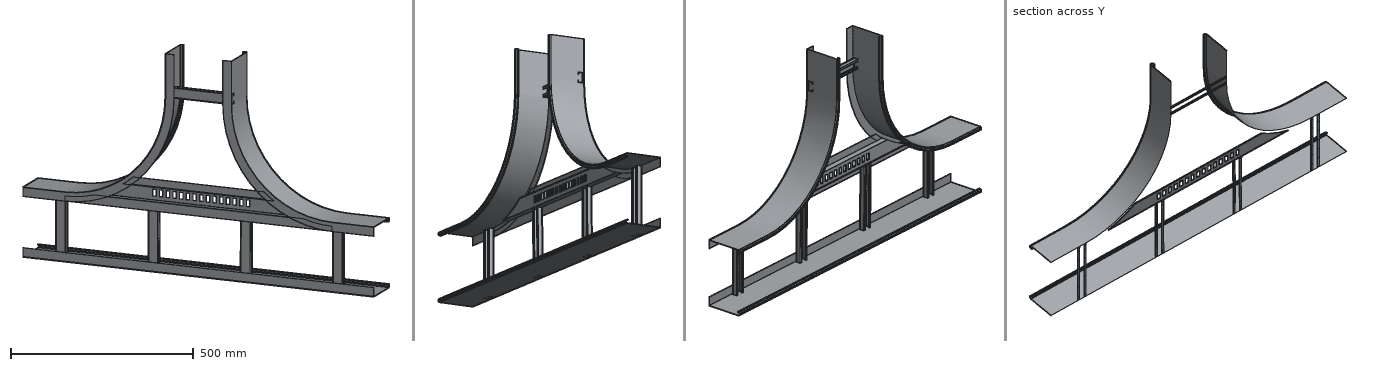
import cadquery as cq
import math

length = 1050.0
depth = 110.0
height = 625.0

sheet = 2.0
leg = 125.0
flange_width = 27.0
fold_angle = 35.0
fold_run = 4.5
return_height = 12.0
return_lip = 8.9

run_width = 200.0
tangent_z = height - leg
tangent_x = length / 2 - leg
bend_radius = tangent_z - run_width

rung_width = 29.9
rung_depth = 15.0
rung_sheet = 2.0
rung_lip = 7.0
rung_front = 5.1
rung_pitch = 276.0
rung_top_gap = 3.0
inner_rung_lean = 1.6

panel_bottom = run_width - flange_width
channel_height = 40.4
channel_depth = 20.0
panel_top_flange = 23.0
panel_clearance = 10.0
slot_count = 15
slot_pitch = 20.0
slot_width = 10.0
slot_height = 19.0


def rail_section():
    """Rail outline as (Y, distance inward from the outside of the web)."""
    fold_drop = fold_run * math.tan(math.radians(fold_angle))
    flat_setback = sheet * math.tan(math.radians(fold_angle / 2))
    wall_setback = sheet * math.tan(math.radians((90 - fold_angle) / 2))
    flat_end = depth - fold_run
    return [
        (0, 0),
        (flat_end, 0),
        (depth, fold_drop),
        (depth, return_height - fold_drop),
        (flat_end, return_height),
        (depth - return_lip, return_height),
        (depth - return_lip, return_height - sheet),
        (flat_end - flat_setback, return_height - sheet),
        (depth - sheet, return_height - fold_drop - wall_setback),
        (depth - sheet, fold_drop + wall_setback),
        (flat_end - flat_setback, sheet),
        (sheet, sheet),
        (sheet, flange_width),
        (0, flange_width),
    ]


def make_bottom_rail():
    """Straight rail with its web at the bottom."""
    start = cq.Workplane("YZ", origin=(-length / 2, 0, 0))
    return start.polyline(rail_section()).close().extrude(length)


def make_left_curved_rail():
    """Rail that turns from the main run up into the branch; its web faces up and outward."""
    mid = bend_radius * math.sqrt(0.5)
    branch_x = -run_width / 2
    path = (
        cq.Workplane("XZ")
        .moveTo(-length / 2, run_width)
        .lineTo(-tangent_x, run_width)
        .threePointArc((-tangent_x + mid, tangent_z - mid), (branch_x, tangent_z))
        .lineTo(branch_x, height)
    )
    outline = [(y, -inward) for y, inward in rail_section()]
    start = cq.Workplane("YZ", origin=(-length / 2, 0, run_width))
    return start.polyline(outline).close().sweep(path).clean()


def make_rung(rung_length, lean=0.0):
    """Upright rung centred on X = 0 and standing on Z = 0; its top is set back by the lean."""
    half = rung_width / 2
    back = rung_front + rung_depth
    outline = [
        (-half, rung_front),
        (half, rung_front),
        (half, back),
        (half - rung_lip, back),
        (half - rung_lip, back - rung_sheet),
        (half - rung_sheet, back - rung_sheet),
        (half - rung_sheet, rung_front + rung_sheet),
        (-half + rung_sheet, rung_front + rung_sheet),
        (-half + rung_sheet, back - rung_sheet),
        (-half + rung_lip, back - rung_sheet),
        (-half + rung_lip, back),
        (-half, back),
    ]
    wire = cq.Wire.makePolygon([cq.Vector(x, y, 0) for x, y in outline], close=True)
    solid = cq.Solid.extrudeLinear(wire, [], cq.Vector(0, lean, rung_length))
    return cq.Workplane(solid)


def make_main_rungs():
    """Four rungs between the bottom rail and the upper side of the main run."""
    rung_length = run_width - 2 * sheet - rung_top_gap
    rungs = []
    for step in (-1.5, -0.5, 0.5, 1.5):
        lean = inner_rung_lean if abs(step) < 1 else 0.0
        rungs.append(make_rung(rung_length, lean).translate((step * rung_pitch, 0, sheet)))
    return rungs


def make_branch_rung():
    """Rung across the branch, with its lower side level with the start of the bends."""
    rung_length = run_width - 2 * sheet
    lying = make_rung(rung_length).rotate((0, 0, 0), (0, 1, 0), 90)
    return lying.translate((-rung_length / 2, 0, tangent_z + rung_width / 2))


def make_panel():
    """Hat-section panel behind the front flanges, trimmed to the curved rails and slotted."""
    front = sheet
    back = front + channel_depth
    channel_bottom = run_width
    channel_top = channel_bottom + channel_height
    top = channel_top + panel_top_flange
    outline = [
        (front, panel_bottom),
        (front, channel_bottom),
        (back - sheet, channel_bottom),
        (back - sheet, channel_top),
        (front, channel_top),
        (front, top),
        (front + sheet, top),
        (front + sheet, channel_top + sheet),
        (back, channel_top + sheet),
        (back, channel_bottom - sheet),
        (front + sheet, channel_bottom - sheet),
        (front + sheet, panel_bottom),
    ]
    start = cq.Workplane("YZ", origin=(-tangent_x, 0, 0))
    panel = start.polyline(outline).close().extrude(2 * tangent_x)

    bend_centres = [(-tangent_x, tangent_z), (tangent_x, tangent_z)]
    trim_radius = bend_radius + sheet + panel_clearance
    bends = cq.Workplane("XZ").pushPoints(bend_centres).circle(trim_radius).extrude(-depth)

    slots = (
        cq.Workplane("XZ", origin=(0, 0, (channel_bottom + channel_top) / 2))
        .rarray(slot_pitch, 10, slot_count, 1)
        .rect(slot_width, slot_height)
        .extrude(-depth)
    )
    return panel.cut(bends).cut(slots)


bottom_rail = make_bottom_rail()
left_curved_rail = make_left_curved_rail()
right_curved_rail = left_curved_rail.mirror("YZ")
main_rungs = make_main_rungs()
branch_rung = make_branch_rung()
panel = make_panel()

result = cq.Compound.makeCompound([
    bottom_rail.val(),
    left_curved_rail.val(),
    right_curved_rail.val(),
    *[rung.val() for rung in main_rungs],
    branch_rung.val(),
    panel.val(),
])